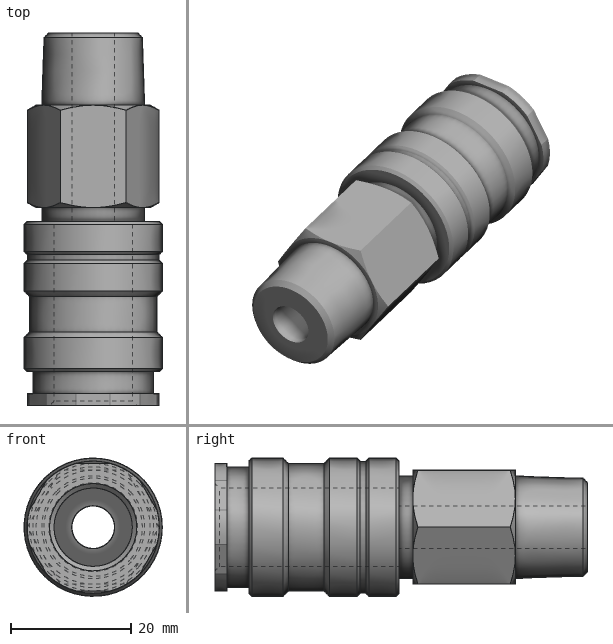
import cadquery as cq
import math

TOTAL_LENGTH = 62.0

FLANGE_RADIUS = 11.0
FLANGE_ACROSS_FLATS = 21.2
FLANGE_END = 2.0
FRONT_NECK_RADIUS = 10.05

SLEEVE_RADIUS = 23.0 / 2
SLEEVE_START = 5.65
SLEEVE_END = 30.6
WAIST_RADIUS = 10.6
WAIST_START = 12.2
WAIST_END = 18.15
WAIST_SLOPE = SLEEVE_RADIUS - WAIST_RADIUS
GROOVE_RADIUS = 11.0
GROOVE_START = 24.2
GROOVE_END = 25.1
GROOVE_SLOPE = SLEEVE_RADIUS - GROOVE_RADIUS
EDGE_CHAMFER = 0.5

REAR_NECK_RADIUS = 8.55
HEX_ACROSS_FLATS = 19.0
HEX_START = 32.9
HEX_END = 50.0
HEX_CHAMFER_ANGLE = 30.0
CORNER_CLEARANCE = 0.6

TAPER_BASE_RADIUS = 8.55
TAPER_TIP_RADIUS = 8.2
TIP_CHAMFER = 0.8

BORE_RADIUS = 3.55
SOCKET_RADIUS = 6.5
SOCKET_DEPTH = SLEEVE_END
MOUTH_CHAMFER = 0.75


def revolve_profile(points):
    """Solid of revolution about Y from (radius, y) points."""
    return cq.Workplane("XY").polyline(points).close().revolve(360, (0, 0, 0), (0, 1, 0))


def hex_prism(across_flats, start, end):
    """Hexagonal prism along Y with corners at +X and -X."""
    across_corners = across_flats / math.cos(math.pi / 6)
    return cq.Workplane("XZ", origin=(0, start, 0)).polygon(6, across_corners).extrude(start - end)


def make_flange():
    disc = revolve_profile([(0, 0), (FLANGE_RADIUS, 0), (FLANGE_RADIUS, FLANGE_END), (0, FLANGE_END)])
    return disc.intersect(hex_prism(FLANGE_ACROSS_FLATS, 0, FLANGE_END))


def make_sleeve_and_necks():
    return revolve_profile([
        (0, 0),
        (FRONT_NECK_RADIUS, 0),
        (FRONT_NECK_RADIUS, SLEEVE_START),
        (SLEEVE_RADIUS - EDGE_CHAMFER, SLEEVE_START),
        (SLEEVE_RADIUS, SLEEVE_START + EDGE_CHAMFER),
        (SLEEVE_RADIUS, WAIST_START - WAIST_SLOPE),
        (WAIST_RADIUS, WAIST_START),
        (WAIST_RADIUS, WAIST_END),
        (SLEEVE_RADIUS, WAIST_END + WAIST_SLOPE),
        (SLEEVE_RADIUS, GROOVE_START - GROOVE_SLOPE),
        (GROOVE_RADIUS, GROOVE_START),
        (GROOVE_RADIUS, GROOVE_END),
        (SLEEVE_RADIUS, GROOVE_END + GROOVE_SLOPE),
        (SLEEVE_RADIUS, SLEEVE_END - EDGE_CHAMFER),
        (SLEEVE_RADIUS - EDGE_CHAMFER, SLEEVE_END),
        (REAR_NECK_RADIUS, SLEEVE_END),
        (REAR_NECK_RADIUS, HEX_START),
        (0, HEX_START),
    ])


def make_hex_body():
    flat_radius = HEX_ACROSS_FLATS / 2
    corner_radius = flat_radius / math.cos(math.pi / 6)
    chamfer_radius = corner_radius + CORNER_CLEARANCE
    chamfer_length = (chamfer_radius - flat_radius) * math.tan(math.radians(HEX_CHAMFER_ANGLE))
    chamfer_envelope = revolve_profile([
        (0, HEX_START),
        (flat_radius, HEX_START),
        (chamfer_radius, HEX_START + chamfer_length),
        (chamfer_radius, HEX_END - chamfer_length),
        (flat_radius, HEX_END),
        (0, HEX_END),
    ])
    return hex_prism(HEX_ACROSS_FLATS, HEX_START, HEX_END).intersect(chamfer_envelope)


def make_tapered_end():
    return revolve_profile([
        (0, HEX_END),
        (TAPER_BASE_RADIUS, HEX_END),
        (TAPER_TIP_RADIUS, TOTAL_LENGTH - TIP_CHAMFER),
        (TAPER_TIP_RADIUS - TIP_CHAMFER, TOTAL_LENGTH),
        (0, TOTAL_LENGTH),
    ])


def make_bore():
    return revolve_profile([
        (0, 0),
        (SOCKET_RADIUS + MOUTH_CHAMFER, 0),
        (SOCKET_RADIUS, MOUTH_CHAMFER),
        (SOCKET_RADIUS, SOCKET_DEPTH),
        (BORE_RADIUS, SOCKET_DEPTH),
        (BORE_RADIUS, TOTAL_LENGTH),
        (0, TOTAL_LENGTH),
    ])


body = make_sleeve_and_necks().union(make_flange()).union(make_hex_body()).union(make_tapered_end())
result = body.cut(make_bore())